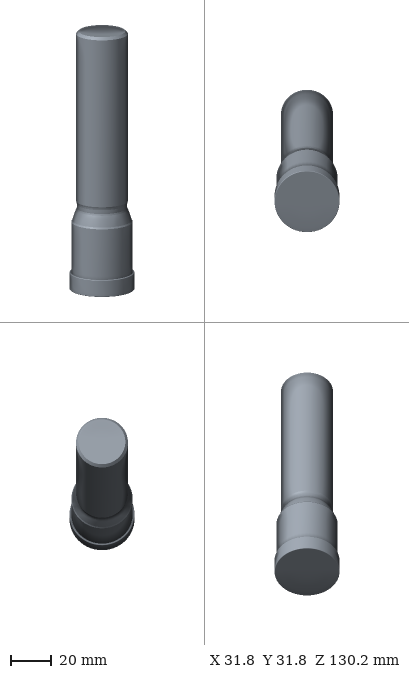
import cadquery as cq

total_length = 130.2
cutting_diameter = 31.8
cutting_height = 8.5
cutting_edge_radius = 0.3
body_diameter = 30.0
shank_diameter = 25.4
shank_chamfer = 1.3

neck_diameter = 24.6
neck_blend_diameter = 24.9
shank_bottom = 44.5
undercut_top = 43.7
neck_top = 43.0
neck_bottom = 41.0

shoulder_top = 40.2
shoulder_bottom = 34.8
shoulder_top_diameter = 25.1
shoulder_bottom_diameter = 29.0
shoulder_bulge = 0.3
body_top = 34.0


def make_cutting_ring():
    """Disc enclosing the cutting end, with both rims slightly rounded."""
    disc = cq.Workplane("XY").circle(cutting_diameter / 2).extrude(cutting_height)
    return disc.faces("<Z or >Z").edges().fillet(cutting_edge_radius)


def make_holder():
    """Body, shoulder, neck and shank turned about Z, seated on the cutting disc."""
    body_radius = body_diameter / 2
    shank_radius = shank_diameter / 2
    neck_radius = neck_diameter / 2
    neck_blend_radius = neck_blend_diameter / 2
    shoulder_top_radius = shoulder_top_diameter / 2
    shoulder_bottom_radius = shoulder_bottom_diameter / 2
    shoulder_middle = (
        (shoulder_top_radius + shoulder_bottom_radius) / 2 + shoulder_bulge,
        (shoulder_top + shoulder_bottom) / 2,
    )
    profile = (
        cq.Workplane("XZ")
        .moveTo(0, cutting_height)
        .lineTo(body_radius, cutting_height)
        .lineTo(body_radius, body_top)
        .lineTo(shoulder_bottom_radius, shoulder_bottom)
        .threePointArc(shoulder_middle, (shoulder_top_radius, shoulder_top))
        .lineTo(neck_radius, neck_bottom)
        .lineTo(neck_radius, neck_top)
        .lineTo(neck_blend_radius, undercut_top)
        .lineTo(shank_radius, shank_bottom)
        .lineTo(shank_radius, total_length - shank_chamfer)
        .lineTo(shank_radius - shank_chamfer, total_length)
        .lineTo(0, total_length)
        .close()
    )
    return profile.revolve(360, (0, 0, 0), (0, 1, 0))


cutting_ring = make_cutting_ring()
holder = make_holder()
result = cq.Compound.makeCompound([cutting_ring.val(), holder.val()])